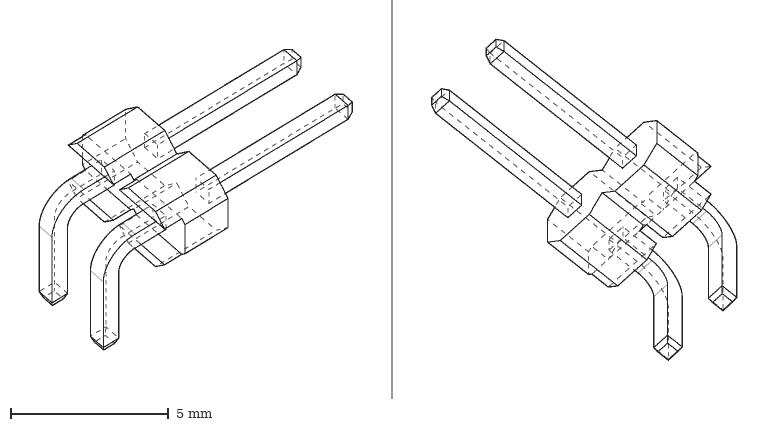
import cadquery as cq
import math

pin_count = 2
pitch = 2.54
pin_positions = [(i - (pin_count - 1) / 2) * pitch for i in range(pin_count)]
overall_length = 10.36
overall_height = 5.54

flat_width = 1.35
housing_length = 2.5
corner_cut = (pitch - flat_width) / 2
channel_depth = 0.71
channel_height = 1.65

pin_width = 0.64
pin_half = pin_width / 2
rear_length = 6.0
bend_outer_radius = 1.32
bend_inner_radius = bend_outer_radius - pin_width
tip_length = 0.26
tip_width = 0.46

housing_front = -housing_length
pin_front = rear_length - overall_length
pin_bottom = pitch / 2 - overall_height


def make_housing():
    """One octagonal prism per pin, with a channel across the front face."""
    housing_width = pin_count * pitch
    housing = cq.Workplane("XY")
    for x in pin_positions:
        block = (
            cq.Workplane("XZ")
            .center(x, 0)
            .rect(pitch, pitch)
            .extrude(housing_length)
            .edges("|Y")
            .chamfer(corner_cut)
        )
        housing = housing.add(block)
    housing = housing.combine()
    channel = cq.Workplane("XY").box(housing_width, channel_depth, channel_height)
    channel_centre = housing_front + channel_depth / 2
    return housing.cut(channel.translate((0, channel_centre, 0)))


def make_tip(plane):
    """Tapered pin end, growing along the normal of the given plane."""
    return (
        cq.Workplane(plane)
        .rect(pin_width, pin_width)
        .workplane(offset=tip_length)
        .rect(tip_width, tip_width)
        .loft(ruled=True)
    )


def make_pin():
    """Square pin bent down by 90 degrees, tapered at both ends."""
    bend_y = pin_front + bend_outer_radius
    bend_z = pin_half - bend_outer_radius
    rear_shoulder = rear_length - tip_length
    lower_shoulder = pin_bottom + tip_length
    diagonal = math.sqrt(0.5)
    outer_mid = bend_outer_radius * diagonal
    inner_mid = bend_inner_radius * diagonal
    shank = (
        cq.Workplane("YZ")
        .moveTo(rear_shoulder, pin_half)
        .lineTo(bend_y, pin_half)
        .threePointArc((bend_y - outer_mid, bend_z + outer_mid), (pin_front, bend_z))
        .lineTo(pin_front, lower_shoulder)
        .lineTo(pin_front + pin_width, lower_shoulder)
        .lineTo(pin_front + pin_width, bend_z)
        .threePointArc((bend_y - inner_mid, bend_z + inner_mid), (bend_y, -pin_half))
        .lineTo(rear_shoulder, -pin_half)
        .close()
        .extrude(pin_half, both=True)
    )
    rear_plane = cq.Plane((0, rear_shoulder, 0), (1, 0, 0), (0, 1, 0))
    lower_plane = cq.Plane((0, pin_front + pin_half, lower_shoulder), (1, 0, 0), (0, 0, -1))
    return shank.union(make_tip(rear_plane)).union(make_tip(lower_plane))


result = make_housing()
for x in pin_positions:
    result = result.union(make_pin().translate((x, 0, 0)))